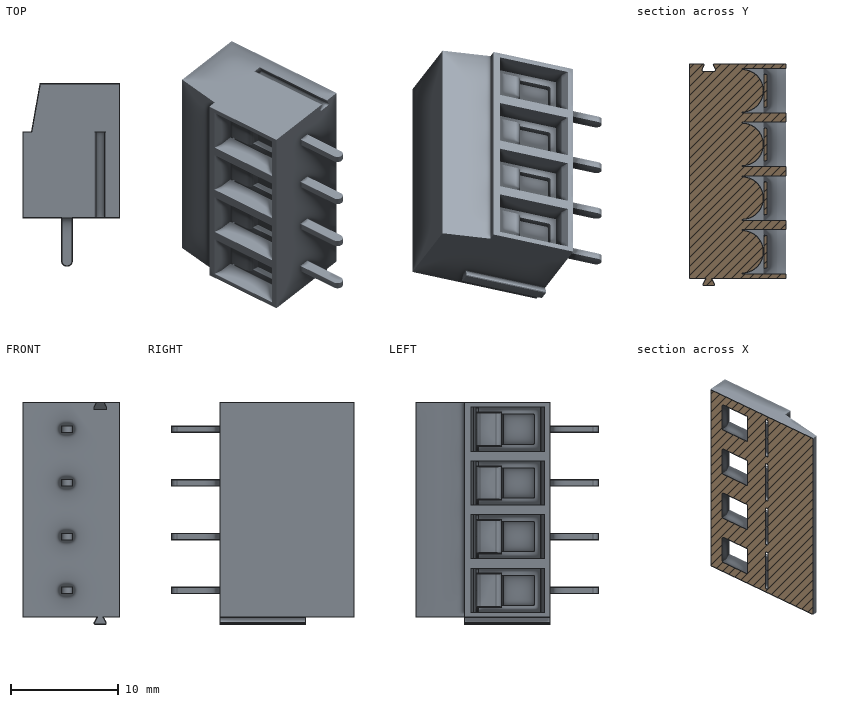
import cadquery as cq
import math

poles = 4
pitch = 5.0
body_width = 9.0
body_depth = 12.5
body_height = poles * pitch
front_depth = 8.0
step_width = 0.8
slope_top = 1.6

pin_x = 4.1
pin_width = 1.0
pin_thickness = 0.6
pin_length = 4.5

pocket_height = 4.1
pocket_depth = 2.1
pocket_lead_depth = 0.8
pocket_low_y = 0.54
pocket_low_lead_y = 0.87
pocket_low_floor_y = 0.89
pocket_high_y = 7.36
pocket_high_lead_y = 7.18
pocket_high_floor_y = 7.16

gap_low_y = 6.68
gap_high_y = 6.93
screw_x = 4.1
screw_radius = 2.0

clamp_base_height = 3.2
clamp_face_height = 3.0
clamp_low_y = 4.52
clamp_high_y = 6.9
clamp_rise = 0.38
clamp_low_radius = 0.55
clamp_high_radius = 0.36

hole_height = 2.8
hole_low_y = 1.44
hole_high_y = 4.47
hole_high_floor_y = 4.34
hole_depth = 0.6
hole_corner_radius = 0.15

dovetail_x = 7.2
dovetail_size = 0.68
dovetail_flank = 0.1
dovetail_foot_chamfer = 0.07
mouth_chamfer_depth = 0.035
rail_neck = 0.6
rail_foot = 1.12
rail_mouth_chamfer = 0.05
slot_neck = 0.76
slot_foot = 1.2
slot_mouth_chamfer = 0.12


def extrude_xy(profile, height, z_middle):
    """Extrude a closed XY wire along Z, centred on z_middle."""
    return profile.extrude(height / 2, both=True).translate((0, 0, z_middle))


def housing():
    outline = (
        cq.Workplane("XY")
        .moveTo(0, 0)
        .lineTo(body_width, 0)
        .lineTo(body_width, body_depth)
        .lineTo(slope_top, body_depth)
        .lineTo(step_width, front_depth)
        .lineTo(0, front_depth)
        .close()
    )
    return outline.extrude(body_height)


def pocket(z_middle):
    profile = (
        cq.Workplane("XY")
        .moveTo(0, pocket_low_y)
        .lineTo(pocket_lead_depth, pocket_low_lead_y)
        .lineTo(pocket_depth, pocket_low_floor_y)
        .lineTo(pocket_depth, pocket_high_floor_y)
        .lineTo(pocket_lead_depth, pocket_high_lead_y)
        .lineTo(0, pocket_high_y)
        .close()
    )
    return extrude_xy(profile, pocket_height, z_middle)


def screw_gap(z_middle):
    """Slit behind the pocket floor that leaves part of the screw body standing."""
    gap_width = gap_high_y - gap_low_y
    gap = cq.Workplane("XY").box(
        screw_x - pocket_depth, gap_width, pocket_height, centered=(False, False, True)
    )
    gap = gap.translate((pocket_depth, gap_low_y, z_middle))
    screw = (
        cq.Workplane("XZ", origin=(screw_x, gap_low_y, z_middle))
        .circle(screw_radius)
        .extrude(-gap_width)
    )
    return gap.cut(screw)


def wire_hole(z_middle):
    hole_floor_x = pocket_depth + hole_depth
    profile = (
        cq.Workplane("XY")
        .moveTo(pocket_depth, hole_low_y)
        .lineTo(hole_floor_x, hole_low_y)
        .lineTo(hole_floor_x, hole_high_floor_y)
        .lineTo(pocket_depth, hole_high_y)
        .close()
    )
    hole = extrude_xy(profile, hole_height, z_middle)
    return hole.edges("|X").edges("<Y").fillet(hole_corner_radius)


def rounding_run(radius):
    """Y length of an end rounding that starts tangent to the clamp face and ends at the floor."""
    return math.sqrt(radius**2 - (radius - clamp_rise) ** 2)


def clamp(z_middle):
    """Plate rising from the pocket floor, rounded at both ends and narrowing towards its face."""
    clamp_face_x = pocket_depth - clamp_rise
    profile = (
        cq.Workplane("XY")
        .moveTo(pocket_depth, clamp_low_y)
        .lineTo(pocket_depth, clamp_high_y)
        .radiusArc((clamp_face_x, clamp_high_y - rounding_run(clamp_high_radius)), -clamp_high_radius)
        .lineTo(clamp_face_x, clamp_low_y + rounding_run(clamp_low_radius))
        .radiusArc((pocket_depth, clamp_low_y), -clamp_low_radius)
        .close()
    )
    plate = extrude_xy(profile, clamp_base_height, z_middle)
    section = (
        cq.Workplane("XZ", origin=(0, 0, z_middle))
        .moveTo(pocket_depth, -clamp_base_height / 2)
        .lineTo(pocket_depth, clamp_base_height / 2)
        .lineTo(clamp_face_x, clamp_face_height / 2)
        .lineTo(clamp_face_x, -clamp_face_height / 2)
        .close()
        .extrude(-front_depth)
    )
    return plate.intersect(section)


def pin(z_middle):
    half_width = pin_width / 2
    straight_end = half_width - pin_length
    profile = (
        cq.Workplane("XY")
        .moveTo(pin_x - half_width, 0)
        .lineTo(pin_x - half_width, straight_end)
        .threePointArc((pin_x, -pin_length), (pin_x + half_width, straight_end))
        .lineTo(pin_x + half_width, 0)
        .close()
    )
    return extrude_xy(profile, pin_thickness, z_middle)


def dovetail(neck, foot, mouth_chamfer, z_mouth):
    """Dovetail bar along Y, with its neck at z_mouth and its foot below."""
    z_foot = z_mouth - dovetail_size
    half_profile = [
        (neck / 2 + mouth_chamfer, z_mouth),
        (neck / 2, z_mouth - mouth_chamfer_depth),
        (foot / 2, z_foot + dovetail_foot_chamfer + dovetail_flank),
        (foot / 2, z_foot + dovetail_foot_chamfer),
        (foot / 2 - dovetail_foot_chamfer, z_foot),
    ]
    right_side = [(dovetail_x + offset, z) for offset, z in half_profile]
    left_side = [(dovetail_x - offset, z) for offset, z in reversed(half_profile)]
    return cq.Workplane("XZ").polyline(right_side + left_side).close().extrude(-front_depth)


result = housing()
for pole in range(poles):
    pole_z = (pole + 0.5) * pitch
    result = result.cut(pocket(pole_z)).cut(screw_gap(pole_z)).cut(wire_hole(pole_z))
    result = result.union(clamp(pole_z)).union(pin(pole_z))

result = result.cut(dovetail(slot_neck, slot_foot, slot_mouth_chamfer, body_height))
result = result.union(dovetail(rail_neck, rail_foot, rail_mouth_chamfer, 0))